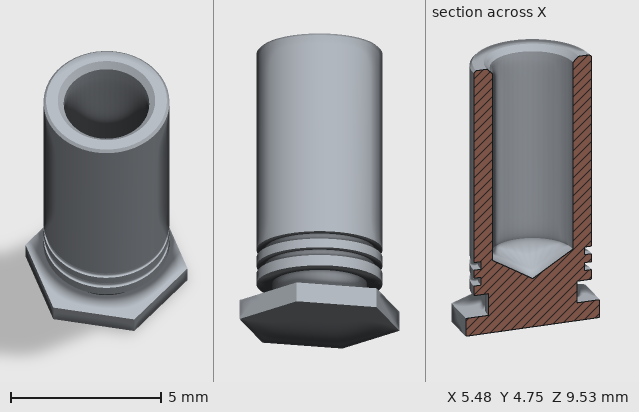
import cadquery as cq
import math

total_height = 9.53
hex_across_flats = 4.75
hex_across_corners = hex_across_flats / math.cos(math.radians(30))

body_diameter = 4.19
groove_diameter = 3.68
neck_diameter = 3.17

hex_top = 0.66
neck_top = 1.42
lower_ring_top = 1.78
lower_groove_top = 2.05
upper_ring_top = 2.35
upper_groove_top = 2.61
rim_chamfer = 0.09

bore_diameter = 2.85
bore_mouth_diameter = 3.24
bore_floor = 2.61
drill_point_angle = 118.0


def cylinder(diameter, bottom, top):
    return cq.Workplane("XY").workplane(offset=bottom).circle(diameter / 2).extrude(top - bottom)


def hex_flange():
    """Hexagon with two of its corners on the X axis."""
    return cq.Workplane("XY").polygon(6, hex_across_corners).extrude(hex_top)


def stepped_barrel():
    """Neck, two rings with grooves above them, and the long body."""
    barrel = cylinder(body_diameter, upper_groove_top, total_height).faces(">Z").chamfer(rim_chamfer)
    steps = [
        (neck_diameter, hex_top, neck_top),
        (body_diameter, neck_top, lower_ring_top),
        (groove_diameter, lower_ring_top, lower_groove_top),
        (body_diameter, lower_groove_top, upper_ring_top),
        (groove_diameter, upper_ring_top, upper_groove_top),
    ]
    for diameter, bottom, top in steps:
        barrel = barrel.union(cylinder(diameter, bottom, top))
    return barrel


def bore():
    """Revolved cutter for the bore, its cone and its 45 degree mouth chamfer."""
    bore_radius = bore_diameter / 2
    mouth_radius = bore_mouth_diameter / 2
    mouth_depth = mouth_radius - bore_radius
    cone_depth = bore_radius / math.tan(math.radians(drill_point_angle / 2))
    profile = (
        cq.Workplane("XZ")
        .moveTo(0, bore_floor - cone_depth)
        .lineTo(bore_radius, bore_floor)
        .lineTo(bore_radius, total_height - mouth_depth)
        .lineTo(mouth_radius, total_height)
        .lineTo(0, total_height)
        .close()
    )
    return profile.revolve(360, (0, 0, 0), (0, 1, 0))


result = hex_flange().union(stepped_barrel()).cut(bore())